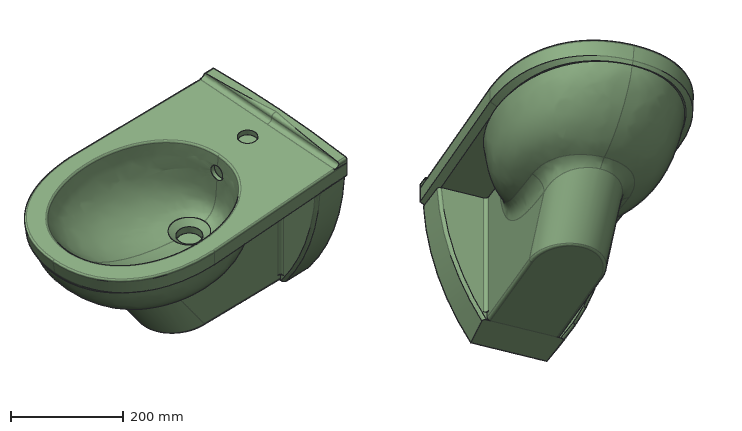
import cadquery as cq

TOTAL_LENGTH = 564.9
TOTAL_WIDTH = 365.91
TOTAL_HEIGHT = 327.18

DECK_TOP = 310.5
DECK_OVERLAP = 2.0
DECK_THICKNESS = 40.0
DECK_BOTTOM = DECK_TOP - DECK_THICKNESS
DECK_BACK_HALF_WIDTH = 172.5
DECK_HALF_WIDTH = TOTAL_WIDTH / 2
DECK_WIDEST_Y = -340.0
DECK_FULLNESS = 0.616
DECK_EDGE_RADIUS = 3.5
DECK_LAND_HEIGHT = 4.0
UNDERSIDE_INSET = 14.0
UNDERSIDE_BEVEL_HEIGHT = 8.0
FRONT_INSET = 8.0
BEVEL_FRONT_INSET = 5.0

RIDGE_TOP_DEPTH = 9.0
RIDGE_DEPTH = 20.0
RIDGE_NOSE_HEIGHT = 9.0
RIDGE_FOOT_DEPTH = 31.0
RIDGE_END_DROP = 8.0
RIDGE_CORNER_RADIUS = 5.0

BOWL_OUTER_SECTIONS = [
    (DECK_BOTTOM + DECK_OVERLAP, -556.0, -123.0, 170.0),
    (237.0, -541.0, -128.0, 163.0),
    (197.0, -507.0, -143.0, 148.0),
    (164.0, -462.0, -176.0, 112.0),
    (143.0, -410.0, -236.0, 60.0),
]

DRAIN_Y = -225.0
DRAIN_RIM_Z = 175.0
DRAIN_RIM_DIAMETER = 76.0
DRAIN_FLOOR_RADIUS = 37.0
DRAIN_DIAMETER = 48.0
DRAIN_CONE_DEPTH = 10.0
DRAIN_BORE_DEPTH = 15.0
DRAIN_RING_HEIGHT = 4.0

BASIN_SECTIONS = [
    (DECK_TOP, -528.0, -153.0, 145.0),
    (245.0, -463.0, -157.0, 119.0),
    (200.0, -370.0, -163.0, 80.0),
    (
        DRAIN_RIM_Z,
        DRAIN_Y - DRAIN_FLOOR_RADIUS,
        DRAIN_Y + DRAIN_FLOOR_RADIUS,
        DRAIN_FLOOR_RADIUS,
    ),
]
BASIN_EDGE_RADIUS = 4.0

TAP_HOLE_DIAMETER = 36.5
TAP_HOLE_Y = -80.0
TAP_HOLE_DEPTH = 11.0
OVERFLOW_DIAMETER = 30.0
OVERFLOW_Z = 271.0
OVERFLOW_END_Y = -148.0

FLANGE_DEPTH = 67.0
FLANGE_TOP_HALF_WIDTH = 166.0
FLANGE_BOTTOM_HALF_WIDTH = 74.0
FLANGE_SIDE_POINT = (130.0, 106.0)
FLANGE_EDGE_RADIUS = 6.0

COVE_RADIUS = 7.0
COVE_BASE_Z = 24.0

PEDESTAL_HALF_WIDTH = 71.0
PEDESTAL_NOSE_LENGTH = 81.0
PEDESTAL_TOE = (-336.0, 17.0)
PEDESTAL_RAKE = 0.645
PEDESTAL_FLANGE_Z = 8.0
PEDESTAL_BASE_Z = PEDESTAL_FLANGE_Z / 2
PEDESTAL_TOP_Z = DECK_BOTTOM + 2 * DECK_OVERLAP
PEDESTAL_BACK_Y = -FLANGE_DEPTH / 2
PEDESTAL_SEAM_FLOOR = 100.0
PEDESTAL_FOOT_RADIUS = 6.0
PEDESTAL_BLEND_RADIUS = 35.0


def oval_outline(z, front, back, half_width):
    """Closed oval wire of two cubic curves that meet on the plane of symmetry."""
    handle = 4 / 3 * half_width
    halves = []
    for start, end, reach in ((back, front, handle), (front, back, -handle)):
        poles = [(0, start), (reach, start), (reach, end), (0, end)]
        halves.append(cq.Edge.makeBezier([cq.Vector(x, y, z) for x, y in poles]))
    return cq.Wire.assembleEdges(halves)


def oval_loft(sections):
    """Smooth solid through ovals given as (z, front y, back y, half width)."""
    wires = [oval_outline(*section) for section in sections]
    return cq.Workplane(cq.Solid.makeLoft(wires))


def deck_outline(z, side_inset, front_inset):
    """Plan outline of the deck, drawn in by the given insets."""
    widest = DECK_HALF_WIDTH - side_inset
    back = DECK_BACK_HALF_WIDTH - side_inset
    nose_y = front_inset - TOTAL_LENGTH
    side_handle_y = DECK_WIDEST_Y + DECK_FULLNESS * (nose_y - DECK_WIDEST_Y)
    nose_handle_x = DECK_FULLNESS * widest
    return (
        cq.Workplane("XY", origin=(0, 0, z))
        .moveTo(-back, 0)
        .lineTo(back, 0)
        .lineTo(widest, DECK_WIDEST_Y)
        .bezier([(widest, side_handle_y), (nose_handle_x, nose_y), (0, nose_y)], includeCurrent=True)
        .bezier(
            [(-nose_handle_x, nose_y), (-widest, side_handle_y), (-widest, DECK_WIDEST_Y)],
            includeCurrent=True,
        )
        .close()
        .wire()
        .val()
    )


def make_deck():
    bevel_top = DECK_BOTTOM + UNDERSIDE_BEVEL_HEIGHT
    land_z = DECK_TOP - DECK_LAND_HEIGHT
    top = deck_outline(land_z, 0, 0)
    middle = deck_outline(bevel_top, 0, BEVEL_FRONT_INSET)
    bottom = deck_outline(DECK_BOTTOM, UNDERSIDE_INSET, FRONT_INSET)
    upper = cq.Workplane(cq.Solid.makeLoft([middle, top], True))
    land = cq.Workplane(cq.Solid.extrudeLinear(top, [], cq.Vector(0, 0, DECK_TOP - land_z)))
    land = land.faces(">Z").edges("not >Y").fillet(DECK_EDGE_RADIUS)
    lower = cq.Workplane(cq.Solid.makeLoft([bottom, middle], True))
    return upper.union(land).union(lower)


def make_ridge():
    nose_z = DECK_TOP + RIDGE_NOSE_HEIGHT
    profile = (
        cq.Workplane("YZ")
        .moveTo(0, DECK_BOTTOM + UNDERSIDE_BEVEL_HEIGHT)
        .lineTo(0, TOTAL_HEIGHT)
        .lineTo(-RIDGE_TOP_DEPTH, TOTAL_HEIGHT)
        .spline([(-RIDGE_DEPTH, nose_z)], tangents=[(-1, 0), (0, -1)], includeCurrent=True)
        .spline([(-RIDGE_FOOT_DEPTH, DECK_TOP)], tangents=[(0, -1), (-1, 0)], includeCurrent=True)
        .lineTo(-RIDGE_FOOT_DEPTH, DECK_BOTTOM + UNDERSIDE_BEVEL_HEIGHT)
        .close()
        .extrude(DECK_BACK_HALF_WIDTH, both=True)
    )
    end_z = TOTAL_HEIGHT - RIDGE_END_DROP
    crown = (
        cq.Workplane("XZ")
        .moveTo(-DECK_BACK_HALF_WIDTH, DECK_BOTTOM)
        .lineTo(-DECK_BACK_HALF_WIDTH, end_z)
        .threePointArc((0, TOTAL_HEIGHT), (DECK_BACK_HALF_WIDTH, end_z))
        .lineTo(DECK_BACK_HALF_WIDTH, DECK_BOTTOM)
        .close()
        .extrude(RIDGE_FOOT_DEPTH)
    )
    crown = crown.edges("|Y").edges(">Z").fillet(RIDGE_CORNER_RADIUS)
    return profile.intersect(crown)


def make_flange():
    side_x, side_z = FLANGE_SIDE_POINT
    plate = (
        cq.Workplane("XZ")
        .moveTo(-FLANGE_BOTTOM_HALF_WIDTH, 0)
        .lineTo(FLANGE_BOTTOM_HALF_WIDTH, 0)
        .threePointArc((side_x, side_z), (FLANGE_TOP_HALF_WIDTH, DECK_BOTTOM))
        .lineTo(-FLANGE_TOP_HALF_WIDTH, DECK_BOTTOM)
        .threePointArc((-side_x, side_z), (-FLANGE_BOTTOM_HALF_WIDTH, 0))
        .close()
        .extrude(FLANGE_DEPTH)
    )
    return plate.faces("<Y").edges("not >Z").fillet(FLANGE_EDGE_RADIUS)


def make_coves():
    """Concave corners between the flange face and both sides of the pedestal."""
    right_cove = (
        cq.Workplane("XY", origin=(PEDESTAL_HALF_WIDTH, -FLANGE_DEPTH, COVE_BASE_Z))
        .moveTo(-COVE_RADIUS, COVE_RADIUS)
        .lineTo(COVE_RADIUS, COVE_RADIUS)
        .lineTo(COVE_RADIUS, 0)
        .radiusArc((0, -COVE_RADIUS), -COVE_RADIUS)
        .lineTo(-COVE_RADIUS, -COVE_RADIUS)
        .close()
        .extrude(DECK_BOTTOM - COVE_BASE_Z)
    )
    return right_cove.union(right_cove.mirror("YZ"))


def pedestal_outline(z):
    """U-shaped plan outline; its nose moves forward with height along the rake."""
    nose_y = PEDESTAL_TOE[0] - PEDESTAL_RAKE * (z - PEDESTAL_TOE[1])
    nose_start_y = nose_y + PEDESTAL_NOSE_LENGTH
    nose = cq.Edge.makeEllipse(
        PEDESTAL_NOSE_LENGTH,
        PEDESTAL_HALF_WIDTH,
        cq.Vector(0, nose_start_y, z),
        cq.Vector(0, 0, 1),
        cq.Vector(0, -1, 0),
        -90,
        90,
    )
    corners = [
        nose.endPoint(),
        cq.Vector(PEDESTAL_HALF_WIDTH, PEDESTAL_BACK_Y, z),
        cq.Vector(-PEDESTAL_HALF_WIDTH, PEDESTAL_BACK_Y, z),
        nose.startPoint(),
    ]
    sides = [cq.Edge.makeLine(a, b) for a, b in zip(corners, corners[1:])]
    return cq.Wire.assembleEdges([nose] + sides)


def underside_cutter():
    """Space under the part, whose underside rises from the wall to the toe."""
    toe_y, toe_z = PEDESTAL_TOE
    return (
        cq.Workplane("YZ")
        .polyline(
            [
                (0, 0),
                (-FLANGE_DEPTH, PEDESTAL_FLANGE_Z),
                (toe_y, toe_z),
                (-TOTAL_LENGTH, toe_z),
                (-TOTAL_LENGTH, 0),
            ]
        )
        .close()
        .extrude(TOTAL_WIDTH, both=True)
    )


def make_pedestal():
    """Raked pedestal that runs up inside the bowl into the deck, with a rounded foot."""
    outlines = [pedestal_outline(PEDESTAL_BASE_Z), pedestal_outline(PEDESTAL_TOP_Z)]
    pedestal = cq.Workplane(cq.Solid.makeLoft(outlines, True)).cut(underside_cutter())
    foot_zone = cq.selectors.BoxSelector(
        (-DECK_HALF_WIDTH, -TOTAL_LENGTH, PEDESTAL_BASE_Z),
        (DECK_HALF_WIDTH, -FLANGE_DEPTH - COVE_RADIUS, PEDESTAL_TOE[1]),
    )
    return pedestal.edges(foot_zone).fillet(PEDESTAL_FOOT_RADIUS)


def make_body():
    """Bowl, pedestal and flange joined under the deck."""
    body = oval_loft(BOWL_OUTER_SECTIONS).union(make_pedestal())
    seam_zone = cq.selectors.BoxSelector(
        (-DECK_BACK_HALF_WIDTH, -TOTAL_LENGTH, PEDESTAL_SEAM_FLOOR),
        (DECK_BACK_HALF_WIDTH, -FLANGE_DEPTH, DECK_BOTTOM - COVE_RADIUS),
    )
    body = body.edges(seam_zone).fillet(PEDESTAL_BLEND_RADIUS)
    body = body.union(make_flange()).union(make_coves())
    return body.cut(underside_cutter())


def cut_basin(part):
    """Sink the basin into the deck and round its rim."""
    sunk = part.cut(oval_loft(BASIN_SECTIONS))
    _, front, back, half_width = BASIN_SECTIONS[0]
    margin = BASIN_EDGE_RADIUS / 2
    rim_zone = cq.selectors.BoxSelector(
        (-half_width - margin, front - margin, DECK_TOP - margin),
        (half_width + margin, back + margin, DECK_TOP + margin),
    )
    return sunk.edges(rim_zone).fillet(BASIN_EDGE_RADIUS)


def drain_cutter():
    """Shallow ring, cone and blind bore of the drain."""
    ring_radius = DRAIN_RIM_DIAMETER / 2
    bore_radius = DRAIN_DIAMETER / 2
    cone_bottom = DRAIN_RIM_Z - DRAIN_CONE_DEPTH
    ring = (
        cq.Workplane("XY", origin=(0, DRAIN_Y, DRAIN_RIM_Z))
        .circle(ring_radius)
        .extrude(DRAIN_RING_HEIGHT)
    )
    cone = (
        cq.Workplane("XY", origin=(0, DRAIN_Y, cone_bottom))
        .circle(bore_radius)
        .workplane(offset=DRAIN_CONE_DEPTH)
        .circle(ring_radius)
        .loft()
    )
    bore = (
        cq.Workplane("XY", origin=(0, DRAIN_Y, cone_bottom))
        .circle(bore_radius)
        .extrude(-DRAIN_BORE_DEPTH)
    )
    return ring.union(cone).union(bore)


def tap_hole_cutter():
    return (
        cq.Workplane("XY", origin=(0, TAP_HOLE_Y, DECK_TOP))
        .circle(TAP_HOLE_DIAMETER / 2)
        .extrude(-TAP_HOLE_DEPTH)
    )


def overflow_cutter():
    """Blind hole that enters the back wall of the basin."""
    basin_middle_y = (BASIN_SECTIONS[0][1] + BASIN_SECTIONS[0][2]) / 2
    return (
        cq.Workplane("XZ", origin=(0, OVERFLOW_END_Y, OVERFLOW_Z))
        .circle(OVERFLOW_DIAMETER / 2)
        .extrude(OVERFLOW_END_Y - basin_middle_y)
    )


result = cut_basin(make_body().union(make_deck()).union(make_ridge()))
result = result.cut(drain_cutter()).cut(tap_hole_cutter()).cut(overflow_cutter())